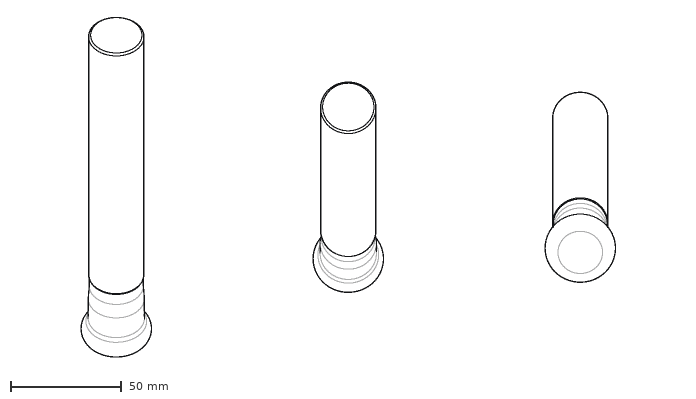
import cadquery as cq
import math

total_height = 190.0

shank_radius = 25.0 / 2
joint_z = 39.1
joint_radius = 24.5 / 2
joint_taper_height = 0.8
top_chamfer = 1.0

flare_top_z = 32.9
collar_radius = 25.5 / 2
collar_top_z = 24.9
collar_bottom_z = 12.5
rim_radius = 32.0 / 2
rim_round = 5.9

rim_centre_r = rim_radius - rim_round
rim_centre_z = rim_round

collar_offset = collar_radius - rim_centre_r
collar_rise = collar_bottom_z - rim_centre_z
fillet_radius = (collar_offset**2 + collar_rise**2 - rim_round**2) / (2 * (rim_round - collar_offset))

blend_angle = math.atan2(collar_rise, collar_offset + fillet_radius)
blend_r = rim_centre_r + rim_round * math.cos(blend_angle)
blend_z = rim_centre_z + rim_round * math.sin(blend_angle)


def revolve_about_z(profile):
    """Turn a closed half profile in the XZ plane into a solid about Z."""
    return profile.revolve(360, (0, 0, 0), (0, 1, 0))


def make_shank():
    """Round rod standing on the joint face."""
    profile = (
        cq.Workplane("XZ")
        .moveTo(0, joint_z)
        .lineTo(joint_radius, joint_z)
        .lineTo(shank_radius, joint_z + joint_taper_height)
        .lineTo(shank_radius, total_height - top_chamfer)
        .lineTo(shank_radius - top_chamfer, total_height)
        .lineTo(0, total_height)
        .close()
    )
    return revolve_about_z(profile)


def make_head():
    """Turned head with a rounded rim, collar and flared neck."""
    profile = (
        cq.Workplane("XZ")
        .lineTo(rim_centre_r, 0)
        .threePointArc((rim_radius, rim_centre_z), (blend_r, blend_z))
        .tangentArcPoint((collar_radius, collar_bottom_z), relative=False)
        .lineTo(collar_radius, collar_top_z)
        .spline(
            [(joint_radius, flare_top_z)],
            tangents=[(joint_radius - collar_radius, (flare_top_z - collar_top_z) / 2), (0, 1)],
            includeCurrent=True,
        )
        .lineTo(joint_radius, joint_z)
        .lineTo(0, joint_z)
        .close()
    )
    return revolve_about_z(profile)


shank = make_shank()
head = make_head()

result = cq.Compound.makeCompound([shank.val(), head.val()])